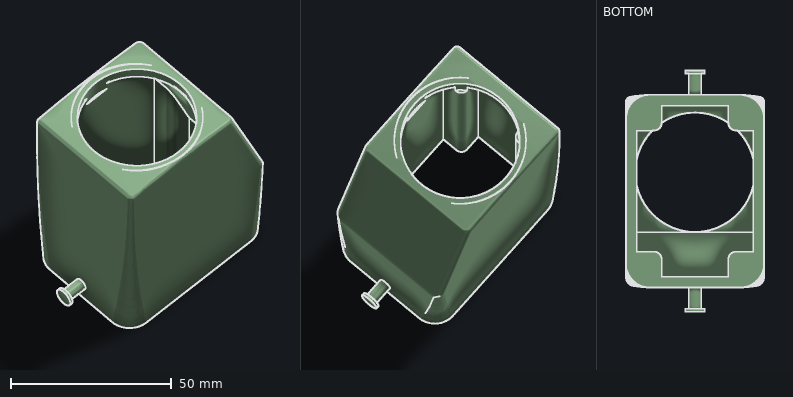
import cadquery as cq
import math

width = 43.0
depth = 60.0
height = 72.0
pin_span = 75.0
wall_draft = 0.9

corner_stations = [(0.0, 7.5), (36.0, 2.85), (height, 1.4)]

crown_radius = 277.5
slope_top_y = 15.6
slope_top_z = 71.25
slope_foot_y = 29.4
slope_foot_z = 33.75
slope_edge_radius = 1.95
slope_foot_radius = 7.5
top_edge_radius = 1.35

opening_y = -5.85
opening_radius = 18.5
opening_bottom_z = 64.5
seat_radius = 20.5
seat_z = 71.5

wall = 3.45
slope_wall = 4.0
ceiling_z = 67.5
post_inner_x = 10.35
post_inner_y = 18.8
post_corner_radius = 2.3

pin_z = 6.2
pin_diameter = 4.0
pin_head_diameter = 6.1
pin_head_thickness = 1.0

slope_gradient = (slope_foot_z - slope_top_z) / (slope_foot_y - slope_top_y)
half_width = width / 2
half_depth = depth / 2
inner_half_width = half_width - wall
inner_half_depth = half_depth - wall


def crown_z(y):
    """Height of the crowned top, highest above the opening centre."""
    drop = crown_radius - math.sqrt(crown_radius**2 - (y - opening_y) ** 2)
    return height - drop


def slope_y(z, inset=0.0):
    """Y of the sloping back at height z, moved inwards by inset along its normal."""
    shift = inset * math.hypot(1, slope_gradient) / abs(slope_gradient)
    return slope_top_y + (z - slope_top_z) / slope_gradient - shift


def slope_z(y, inset=0.0):
    """Height at which the sloping back, moved inwards by inset, passes through y."""
    return slope_top_z + (y - slope_y(slope_top_z, inset)) * slope_gradient


def tapered_block():
    """Upright block with leaning front and back and sharpening corners."""
    sketches = []
    for z, radius in corner_stations:
        section_depth = depth - 2 * wall_draft * z / height
        sketch = cq.Sketch().rect(width, section_depth).vertices().fillet(radius)
        sketches.append(sketch.moved(cq.Location(cq.Vector(0, 0, z))))
    return cq.Workplane("XY").placeSketch(*sketches).loft()


def side_profile_block():
    """Extruded side outline: crowned top, sloping back and rounded slope edges."""
    overhang = 3.75
    front_y = -half_depth - overhang
    block = (
        cq.Workplane("YZ")
        .moveTo(front_y, 0)
        .lineTo(half_depth, 0)
        .lineTo(slope_foot_y, slope_foot_z)
        .lineTo(slope_top_y, crown_z(slope_top_y))
        .threePointArc((opening_y, height), (front_y, crown_z(front_y)))
        .close()
        .extrude(half_width, both=True)
    )
    foot = cq.selectors.NearestToPointSelector((0, slope_foot_y, slope_foot_z))
    block = block.edges(foot).fillet(slope_foot_radius)
    middle_y = (slope_top_y + slope_foot_y) / 2
    for side in (-1, 1):
        edge = cq.selectors.NearestToPointSelector((side * half_width, middle_y, slope_z(middle_y)))
        block = block.edges(edge).fillet(slope_edge_radius)
    return block


def outer_body():
    body = tapered_block().intersect(side_profile_block())
    crown = cq.selectors.NearestToPointSelector((0, opening_y, height))
    return body.faces(crown).edges().fillet(top_edge_radius)


def corner_post(side_x, side_y):
    """Full-height post filling one inner corner, rounded towards the middle."""
    size_x = half_width - post_inner_x
    size_y = half_depth - post_inner_y
    post = cq.Workplane("XY").box(size_x, size_y, height, centered=(True, True, False))
    post = post.edges("|Z").fillet(post_corner_radius)
    center_x = post_inner_x + size_x / 2
    center_y = post_inner_y + size_y / 2
    return post.translate((side_x * center_x, side_y * center_y, 0))


def cavity():
    """Hollow open at the bottom, following the sloping back, less the four posts."""
    hollow = (
        cq.Workplane("YZ")
        .polyline(
            [
                (-inner_half_depth, 0),
                (inner_half_depth, 0),
                (inner_half_depth, slope_z(inner_half_depth, slope_wall)),
                (slope_y(ceiling_z, slope_wall), ceiling_z),
                (-inner_half_depth, ceiling_z),
            ]
        )
        .close()
        .extrude(inner_half_width, both=True)
    )
    for side_x in (-1, 1):
        for side_y in (-1, 1):
            hollow = hollow.cut(corner_post(side_x, side_y))
    return hollow


def vertical_cylinder(radius, bottom_z):
    """Cylinder about the opening axis, from bottom_z up to the top of the hood."""
    return cq.Workplane("XY", origin=(0, opening_y, bottom_z)).circle(radius).extrude(height - bottom_z)


def locking_pin(side):
    """Headed pin standing out of the front (-1) or back (+1) wall."""
    end = pin_span / 2
    root = half_depth - wall / 2
    shank = cq.Workplane("XZ", origin=(0, side * root, pin_z)).circle(pin_diameter / 2)
    shank = shank.extrude(-side * (end - root))
    head = cq.Workplane("XZ", origin=(0, side * end, pin_z)).circle(pin_head_diameter / 2)
    return shank.union(head.extrude(side * pin_head_thickness))


result = outer_body().cut(cavity())
result = result.cut(vertical_cylinder(opening_radius, opening_bottom_z))
result = result.cut(vertical_cylinder(seat_radius, seat_z))
for pin_side in (-1, 1):
    result = result.union(locking_pin(pin_side))